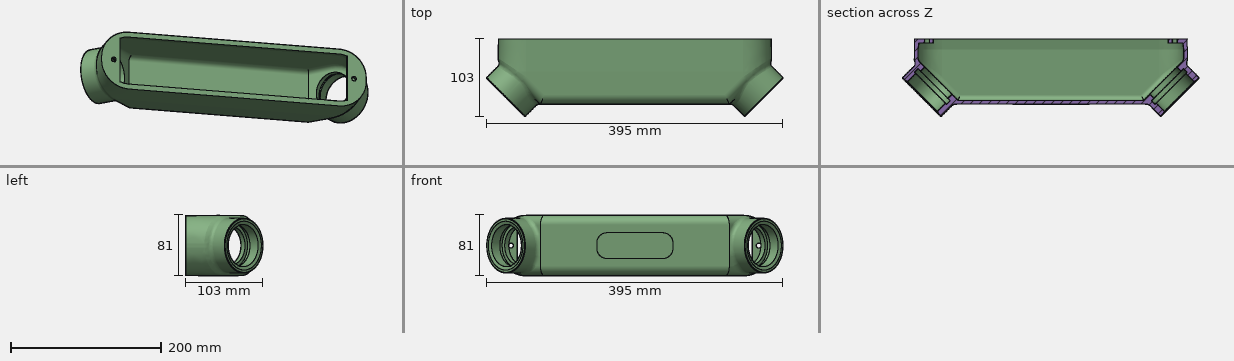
import cadquery as cq
import math

overall_length = 395.0
overall_depth = 103.0

body_length = 365.0
body_depth = 87.3
body_height = 81.0
parting_depth = 43.5
draft_angle = 0.7
corner_radius = 38.0
edge_radius = 12.5
wall = 5.5

hub_diameter = 73.0
hub_length = 26.0
rim_chamfer = 0.8
bore_diameter = 56.0
bore_depth = 17.0
countersink_diameter = 65.0
countersink_depth = 1.5
relief_diameter = 60.5
relief_depth = 23.5
stop_diameter = 51.0
stop_depth = 35.5
hub_root_radius = 6.0

opening_length = 312.5
lip_depth = 14.2
lip_draft = 8.0
ledge_thickness = 5.5
screw_diameter = 6.5
screw_spacing = 330.0

label_length = 101.5
label_height = 34.5
label_corner = 13.5
label_depth = 0.5

diagonal = math.sqrt(0.5)
rim_reach = (hub_diameter / 2 - rim_chamfer) * diagonal
hub_axis = cq.Vector(diagonal, -diagonal, 0)
rim_center = cq.Vector(overall_length / 2 - rim_reach, rim_reach - overall_depth, 0)


def both_ends(shape):
    """Join a +X end shape with its mirror image at the -X end."""
    return shape.union(shape.mirror("YZ"))


def hub_plane(depth):
    """Plane across the hub axis, a given depth behind the rim, facing inward."""
    return cq.Plane(rim_center - hub_axis * depth, xDir=(0, 0, 1), normal=-hub_axis)


def hub_cylinder(diameter, depth, length):
    """Cylinder on the hub axis, starting a given depth behind the rim."""
    return cq.Workplane(hub_plane(depth)).circle(diameter / 2).extrude(length)


def box_with_sloping_ends(inset, widest_depth, back_draft):
    """Drafted box, shrunk by inset on every side but the back, widest at a given depth."""
    half_length = body_length / 2 - inset
    front = -(body_depth - inset)
    height = body_height - 2 * inset

    slope_point = rim_center - hub_axis * (hub_length + inset)
    slope_offset = slope_point.x - slope_point.y
    slope_back = half_length - slope_offset
    slope_front = slope_offset + front
    profile = [
        (-half_length, 0),
        (half_length, 0),
        (half_length, slope_back),
        (slope_front, front),
        (-slope_front, front),
        (-half_length, slope_back),
    ]
    prism = cq.Workplane("XY").polyline(profile).close().extrude(body_height, both=True)
    outline = cq.Sketch().rect(2 * half_length, height).vertices().fillet(corner_radius - inset)
    widest_plane = cq.Workplane("XZ", origin=(0, -widest_depth, 0)).placeSketch(outline)
    back_part = widest_plane.extrude(-widest_depth, taper=back_draft)
    front_part = widest_plane.extrude(body_depth - widest_depth, taper=draft_angle)
    box = back_part.union(front_part).intersect(prism)

    mid_plane_margin = 0.5
    facing_front = box.faces("<Y").add(box.faces("<(-1,1,0)")).add(box.faces("<(1,1,0)")).vals()
    rim_edges = [
        edge
        for face in facing_front
        for edge in face.Edges()
        if abs(edge.Center().z) > mid_plane_margin
    ]
    return box.newObject(rim_edges).fillet(edge_radius - inset)


def is_hub_root(edge):
    """True for an edge where either hub's outer surface meets the box."""
    point = edge.positionAt(0.5)
    offset = cq.Vector(abs(point.x), point.y, point.z) - rim_center
    depth = -offset.dot(hub_axis)
    axis_distance = (offset + hub_axis * depth).Length
    tolerance = 0.05
    on_hub_surface = abs(axis_distance - hub_diameter / 2) < tolerance
    return on_hub_surface and depth > hub_length / 2 and edge.geomType() != "LINE"


def hub_cut():
    """Countersunk bore, relief groove and conduit stop opening into the box."""
    countersink = (
        cq.Workplane(hub_plane(0))
        .circle(countersink_diameter / 2)
        .workplane(offset=countersink_depth)
        .circle(bore_diameter / 2)
        .loft()
    )
    bore = hub_cylinder(bore_diameter, 0, bore_depth)
    relief = hub_cylinder(relief_diameter, bore_depth, relief_depth - bore_depth)
    stop = hub_cylinder(stop_diameter, 0, stop_depth)
    return countersink.union(bore).union(relief).union(stop)


def screw_ledge():
    """Block over the +X end of the box that carries one cover screw."""
    ledge_length = (overall_length - opening_length) / 2
    return cq.Workplane("XY").box(
        ledge_length, ledge_thickness, body_height, centered=(False, False, True)
    ).translate((opening_length / 2, -ledge_thickness, 0))


def screw_holes():
    """Cover screw holes, one through each ledge."""
    half_spacing = screw_spacing / 2
    return (
        cq.Workplane("XZ")
        .pushPoints([(-half_spacing, 0), (half_spacing, 0)])
        .circle(screw_diameter / 2)
        .extrude(ledge_thickness)
    )


def label_recess():
    """Rounded shallow pocket in the middle of the front face."""
    return (
        cq.Workplane("XZ", origin=(0, -body_depth + label_depth, 0))
        .rect(label_length, label_height)
        .extrude(label_depth)
        .edges("|Y")
        .fillet(label_corner)
    )


cavity = box_with_sloping_ends(wall, lip_depth, lip_draft).cut(both_ends(screw_ledge()))

rim_face = cq.selectors.NearestToPointSelector(rim_center.toTuple())
hub = hub_cylinder(hub_diameter, 0, hub_length + edge_radius).faces(rim_face).chamfer(rim_chamfer)
body = box_with_sloping_ends(0, parting_depth, draft_angle).union(both_ends(hub))
hub_root_edges = [edge for edge in body.edges().vals() if is_hub_root(edge)]
body = body.newObject(hub_root_edges).fillet(hub_root_radius)

result = (
    body.cut(cavity)
    .cut(both_ends(hub_cut()))
    .cut(screw_holes())
    .cut(label_recess())
)